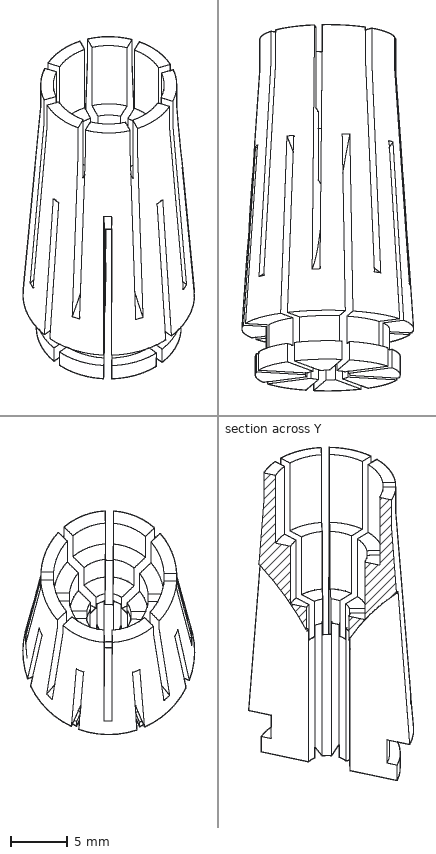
import cadquery as cq
import math

total_height = 30.5
cone_base_radius = 7.62
nose_radius = 6.05
flange_radius = 6.45
neck_radius = 5.5

flange_top = 1.68
cone_bottom = 4.18
nose_bottom = 27.7

bore_radius = 1.98
middle_bore_radius = 3.5
top_bore_radius = 4.9
middle_bore_bottom = 16.95
top_bore_bottom = 23.18

slot_width = 0.7
slots_per_ring = 8
slot_pitch = 360.0 / slots_per_ring
slot_overrun = 1.52

upper_runout_outer = (7.5, 7.93)
upper_runout_inner = (bore_radius, 13.1)
upper_runout_radius = 15.0
lower_runout_outer = (6.62, 20.6)
lower_runout_inner = (bore_radius, 14.35)
lower_runout_radius = 25.0


def make_body():
    """Revolve the outer outline and the stepped bore about Z."""
    outline = [
        (bore_radius, 0),
        (flange_radius, 0),
        (flange_radius, flange_top),
        (neck_radius, flange_top),
        (neck_radius, cone_bottom),
        (cone_base_radius, cone_bottom),
        (nose_radius, nose_bottom),
        (nose_radius, total_height),
        (top_bore_radius, total_height),
        (top_bore_radius, top_bore_bottom),
        (middle_bore_radius, top_bore_bottom),
        (middle_bore_radius, middle_bore_bottom),
        (bore_radius, middle_bore_bottom),
    ]
    profile = cq.Workplane("XZ").polyline(outline).close()
    return profile.revolve(360, (0, 0, 0), (0, 1, 0))


def runout_midpoint(outer, inner, radius, bulge):
    """Middle of the run-out arc; bulge is +1 for an arc crowned upward, -1 for one sagging down."""
    run = outer[0] - inner[0]
    rise = outer[1] - inner[1]
    chord = math.hypot(run, rise)
    sagitta = radius - math.sqrt(radius**2 - (chord / 2) ** 2)
    return (
        (outer[0] + inner[0]) / 2 - bulge * sagitta * rise / chord,
        (outer[1] + inner[1]) / 2 + bulge * sagitta * run / chord,
    )


def make_slot(outer, inner, radius, open_end, bulge):
    """One radial slot along +X, running from its curved run-out to the open end."""
    outside = cone_base_radius + slot_overrun
    inside = bore_radius - slot_overrun
    return (
        cq.Workplane("XZ")
        .moveTo(outside, open_end)
        .lineTo(outside, outer[1])
        .lineTo(*outer)
        .threePointArc(runout_midpoint(outer, inner, radius, bulge), inner)
        .lineTo(inside, inner[1])
        .lineTo(inside, open_end)
        .close()
        .extrude(slot_width / 2, both=True)
    )


def cut_ring(body, slot, first_angle):
    """Cut the slot at equal angles around Z."""
    for index in range(slots_per_ring):
        angle = first_angle + index * slot_pitch
        body = body.cut(slot.rotate((0, 0, 0), (0, 0, 1), angle))
    return body


lower_slot = make_slot(
    lower_runout_outer,
    lower_runout_inner,
    lower_runout_radius,
    open_end=-slot_overrun,
    bulge=1,
)
upper_slot = make_slot(
    upper_runout_outer,
    upper_runout_inner,
    upper_runout_radius,
    open_end=total_height + slot_overrun,
    bulge=-1,
)

result = make_body()
result = cut_ring(result, lower_slot, 0)
result = cut_ring(result, upper_slot, slot_pitch / 2)